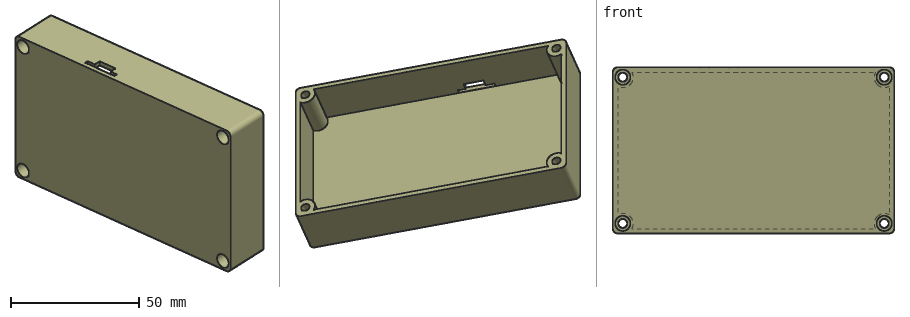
import cadquery as cq

LENGTH = 110.0
DEPTH = 20.0
HEIGHT = 65.0
CORNER_RADIUS = 2.1
WALL = 2.0

SCREW_INSET = 4.0
POST_RADIUS = SCREW_INSET
SCREW_DIAMETER = 3.4
HEAD_DIAMETER = 5.9
SCREW_SEAT_THICKNESS = 5.0

PORT_CENTER_X = -13.6
PORT_FRONT_GAP = 2.2
FLANGE_WIDTH = 14.8
FLANGE_DEPTH = 1.4
PLUG_OFFSET = 0.2
PLUG_WIDTH = 8.0
PLUG_DEPTH = 3.0

FRONT_Y = -DEPTH / 2
BACK_Y = DEPTH / 2
SCREW_SPACING_X = LENGTH - 2 * SCREW_INSET
SCREW_SPACING_Z = HEIGHT - 2 * SCREW_INSET


def block_between(y_start, y_end, width, height):
    """Box centered on the Y axis between two Y positions."""
    return cq.Workplane("XY").box(width, y_end - y_start, height).translate((0, (y_start + y_end) / 2, 0))


def cylinders_at_screws(y_start, y_end, diameter):
    """Four cylinders along Y, one on each screw axis."""
    return (
        cq.Workplane("XZ", origin=(0, y_start, 0))
        .rarray(SCREW_SPACING_X, SCREW_SPACING_Z, 2, 2)
        .circle(diameter / 2)
        .extrude(y_start - y_end)
    )


def make_envelope():
    """Solid outer block with rounded corner edges."""
    return block_between(FRONT_Y, BACK_Y, LENGTH, HEIGHT).edges("|Y").fillet(CORNER_RADIUS)


def make_shell():
    """Rounded box, hollowed from the +Y side."""
    cavity = block_between(FRONT_Y + WALL, BACK_Y, LENGTH - 2 * WALL, HEIGHT - 2 * WALL)
    return make_envelope().cut(cavity)


def make_posts():
    """Full-depth posts, kept within the outer block."""
    return cylinders_at_screws(FRONT_Y, BACK_Y, 2 * POST_RADIUS).intersect(make_envelope())


def make_port():
    """Wide slot at the closed face with a narrower plug opening behind it."""
    flange_y = FRONT_Y + PORT_FRONT_GAP
    step_y = flange_y + FLANGE_DEPTH
    flange = block_between(flange_y, step_y, FLANGE_WIDTH, WALL)
    plug = block_between(flange_y, step_y + PLUG_DEPTH, PLUG_WIDTH, WALL).translate((PLUG_OFFSET, 0, 0))
    return flange.union(plug).translate((PORT_CENTER_X, 0, (HEIGHT - WALL) / 2))


result = make_shell().union(make_posts())
result = result.cut(cylinders_at_screws(FRONT_Y, BACK_Y, SCREW_DIAMETER))
result = result.cut(cylinders_at_screws(FRONT_Y, BACK_Y - SCREW_SEAT_THICKNESS, HEAD_DIAMETER))
result = result.cut(make_port())